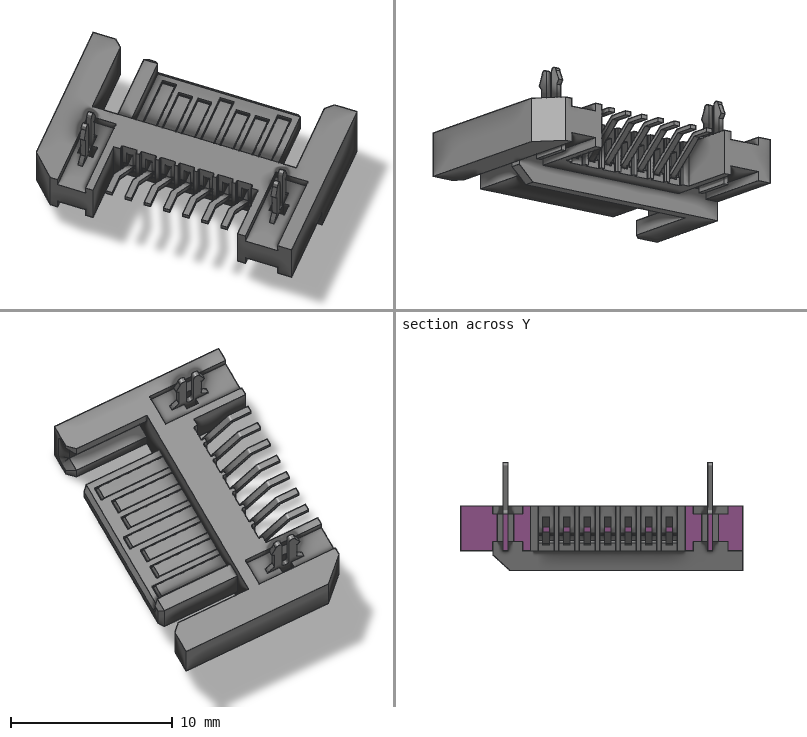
import cadquery as cq
import math

width = 17.47
depth = 11.5
height = 6.7

body_bottom = 1.22
body_top = 4.02
arm_width = 2.0
arm_tip_chamfer = 0.49
corner_cut_x = 1.5
corner_cut_y = 1.54
bridge_rear = 3.62
bridge_front = 6.08
leg_gap_left = 4.33
leg_gap_right = 13.89
right_arm_inner = width - arm_width

skirt_left = 2.0
skirt_rear = 5.35
skirt_chamfer_x = 1.07
skirt_chamfer_z = 0.98

tongue_left = 3.46
tongue_right = 13.82
tongue_bottom = 0.95
tongue_top = 2.15
key_width = 0.93
key_top = 3.2
tongue_lead_in = 0.3
tongue_lead_in_side = 0.26
channel_depth = 0.95

contact_count = 7
contact_row_span = 7.62
contact_pitch = contact_row_span / (contact_count - 1)
contact_center = 9.1
long_contacts = (0, 3, 6)
slot_width = 0.9
slot_depth = 0.17
long_slot_end = 10.85
short_slot_end = 10.32
blade_width = 0.82
blade_sink = 0.02
blade_end_gap = 0.05
blade_end_slope = 0.15
lead_width = 0.42
lead_thickness = 0.26
lead_tip = 0.25
lead_bend = 1.54
lead_bottom = 1.68
lead_angle = math.radians(40)

pocket_width = 1.03
pocket_depth = 0.21
inner_pocket_width = 0.95
inner_pocket_depth = 0.26
window_top = 3.34
window_bottom = 1.59
window_depth = 0.93
mouth_bottom = 1.73
mouth_top = 2.32
mouth_depth = 0.14

recess_depth = 0.5
lower_recess_depth = 0.58
recess_front = 5.33
left_recess = (2.0, 3.85)
right_recess = (14.41, 16.55)
recess_hole_rear = 2.76
recess_hole_front = 3.56
recess_hole_width = 1.01
peg_thickness = 0.31
peg_centers = (2.78, 15.45)
peg_middle = 3.15
peg_half_width = 0.79
peg_slot_half = 0.25
peg_foot_half = 1.28
peg_barb_half = 1.0
peg_barb_z = 5.83
peg_neck_z = 5.55
peg_flare_top = 3.95
peg_flare_bottom = 3.65
peg_flare_half = 1.14
tip_radius = 0.23


def box(x0, x1, y0, y1, z0, z1):
    """Axis-aligned block between two corners."""
    return cq.Workplane("XY").box(x1 - x0, y1 - y0, z1 - z0, centered=False).translate((x0, y0, z0))


def side_profile(points, center_x, thickness):
    """Plate cut to a (y, z) outline and centred on center_x."""
    plane = cq.Workplane("YZ", origin=(center_x - thickness / 2, 0, 0))
    return plane.polyline(points).close().extrude(thickness)


def make_housing():
    """Arms, legs and bridge as one plan outline, with the skirt beneath."""
    chamfer = arm_tip_chamfer
    outline = [
        (corner_cut_x, 0),
        (leg_gap_left, 0),
        (leg_gap_left, bridge_rear),
        (leg_gap_right, bridge_rear),
        (leg_gap_right, 0),
        (width, 0),
        (width, depth),
        (right_arm_inner + chamfer, depth),
        (right_arm_inner, depth - chamfer),
        (right_arm_inner, bridge_front),
        (arm_width, bridge_front),
        (arm_width, depth - chamfer),
        (arm_width - chamfer, depth),
        (0, depth),
        (0, corner_cut_y),
    ]
    body = (
        cq.Workplane("XY", origin=(0, 0, body_bottom))
        .polyline(outline).close().extrude(body_top - body_bottom)
    )

    skirt_outline = [
        (skirt_left + skirt_chamfer_x, 0),
        (width, 0),
        (width, body_bottom),
        (skirt_left, body_bottom),
        (skirt_left, skirt_chamfer_z),
    ]
    skirt = (
        cq.Workplane("XZ", origin=(0, bridge_front, 0))
        .polyline(skirt_outline).close().extrude(bridge_front - skirt_rear)
    )

    right_arm_base = (
        box(right_arm_inner, width, bridge_front, depth, 0, body_bottom)
        .edges("|Z and >Y and <X").chamfer(chamfer)
    )
    return body.union(skirt).union(right_arm_base)


def make_guide_channel():
    """Groove in the inner face of the right arm, flared at its mouth."""
    channel_right = right_arm_inner + channel_depth
    flare_start = depth - arm_tip_chamfer
    groove = box(right_arm_inner, channel_right, bridge_front, depth, tongue_bottom, key_top)
    flare = (
        cq.Workplane("XZ", origin=(0, flare_start, 0))
        .center((right_arm_inner + channel_right) / 2, (tongue_bottom + key_top) / 2)
        .rect(channel_depth, key_top - tongue_bottom)
        .extrude(-arm_tip_chamfer, taper=-45)
    )
    return groove.union(flare)


def make_tongue():
    """L-shaped tongue with a tapered lead-in at its free end."""
    key_right = tongue_left + key_width
    outline = [
        (tongue_left, tongue_bottom),
        (tongue_right, tongue_bottom),
        (tongue_right, tongue_top),
        (key_right, tongue_top),
        (key_right, key_top),
        (tongue_left, key_top),
    ]
    tongue_root = (skirt_rear + bridge_front) / 2
    taper_start = depth - tongue_lead_in
    taper_angle = math.degrees(math.atan(tongue_lead_in_side / tongue_lead_in))
    straight = (
        cq.Workplane("XZ", origin=(0, tongue_root, 0))
        .polyline(outline).close().extrude(tongue_root - taper_start)
    )
    lead_in = (
        cq.Workplane("XZ", origin=(0, taper_start, 0))
        .polyline(outline).close().extrude(-tongue_lead_in, taper=taper_angle)
    )
    return straight.union(lead_in)


def make_contact_slot(center_x, slot_end):
    """Shallow slot in the tongue top around one contact blade."""
    half = slot_width / 2
    floor = tongue_top - slot_depth
    return box(center_x - half, center_x + half, bridge_front, slot_end, floor, tongue_top)


def make_blade(center_x, slot_end):
    """Contact blade on the slot floor, sloping down at its free end."""
    floor = tongue_top - slot_depth
    top = tongue_top - blade_sink
    end = slot_end - blade_end_gap
    outline = [
        (bridge_front, floor),
        (end, floor),
        (end - blade_end_slope, top),
        (bridge_front, top),
    ]
    return side_profile(outline, center_x, blade_width)


def make_lead(center_x):
    """Solder tail at board level, a slope down to the bridge, and a root inside the bridge."""
    drop = body_top - lead_bottom - lead_thickness
    slope_run = drop / math.tan(lead_angle)
    bend_shift = lead_thickness * math.tan(lead_angle / 2)
    root_end = bridge_rear + inner_pocket_depth + window_depth
    upper_bend = lead_bend + bend_shift
    outline = [
        (lead_tip, body_top),
        (upper_bend, body_top),
        (upper_bend + slope_run, lead_bottom + lead_thickness),
        (root_end, lead_bottom + lead_thickness),
        (root_end, lead_bottom),
        (lead_bend + slope_run, lead_bottom),
        (lead_bend, body_top - lead_thickness),
        (lead_tip, body_top - lead_thickness),
    ]
    lead = side_profile(outline, center_x, lead_width)
    bend_edge = cq.selectors.NearestToPointSelector((center_x, upper_bend, body_top))
    return lead.edges(bend_edge).fillet(lead_thickness)


def make_pocket(center_x):
    """Stepped recess in the bridge, with a contact mouth and a narrow window above it."""
    half = pocket_width / 2
    inner_half = inner_pocket_width / 2
    window_half = lead_width / 2
    floor = bridge_rear + inner_pocket_depth
    step = bridge_rear + pocket_depth
    outer = box(center_x - half, center_x + half, bridge_rear, step, body_bottom, body_top)
    inner = box(center_x - inner_half, center_x + inner_half, bridge_rear, floor, body_bottom, body_top)
    window_end = floor + window_depth
    window = box(
        center_x - window_half, center_x + window_half, floor, window_end, window_bottom, window_top
    )
    mouth_outline = [
        (floor, mouth_bottom),
        (floor + mouth_depth, mouth_bottom + mouth_depth),
        (floor + mouth_depth, mouth_top - mouth_depth),
        (floor, mouth_top),
    ]
    mouth = side_profile(mouth_outline, center_x, inner_pocket_width)
    return outer.union(inner).union(window).union(mouth)


def make_leg_recess(x_range):
    """Matching shallow recesses in the top and bottom of one leg."""
    x0, x1 = x_range
    upper = box(x0, x1, 0, recess_front, body_top - recess_depth, body_top)
    lower = box(x0, x1, 0, skirt_rear, body_bottom, body_bottom + lower_recess_depth)
    return upper.union(lower)


def make_peg_hole(center_x):
    """Through hole in the leg around the middle of a peg."""
    half = recess_hole_width / 2
    return box(center_x - half, center_x + half, recess_hole_rear, recess_hole_front, body_bottom, body_top)


def make_peg(center_x):
    """Split board peg with rounded barbed tips and a flared foot."""
    recess_floor = body_top - recess_depth
    tip_center = peg_slot_half + tip_radius
    half_peg = (
        cq.Workplane("YZ", origin=(center_x - peg_thickness / 2, 0, 0))
        .moveTo(0, body_bottom)
        .lineTo(peg_foot_half, body_bottom)
        .lineTo(peg_foot_half, recess_floor)
        .lineTo(peg_flare_half, peg_flare_bottom)
        .lineTo(peg_half_width, peg_flare_top)
        .lineTo(peg_half_width, peg_neck_z)
        .lineTo(peg_barb_half, peg_barb_z)
        .lineTo(tip_center + tip_radius, height - tip_radius)
        .threePointArc((tip_center, height), (peg_slot_half, height - tip_radius))
        .lineTo(peg_slot_half, recess_floor + peg_slot_half)
        .radiusArc((0, recess_floor), peg_slot_half)
        .close()
        .extrude(peg_thickness)
    )
    peg = half_peg.union(half_peg.mirror("XZ"))
    return peg.translate((0, peg_middle, 0))


result = make_housing().cut(make_guide_channel()).union(make_tongue())

for recess_range, peg_x in zip((left_recess, right_recess), peg_centers):
    result = result.cut(make_leg_recess(recess_range)).cut(make_peg_hole(peg_x)).union(make_peg(peg_x))

for index in range(contact_count):
    contact_x = contact_center - contact_row_span / 2 + index * contact_pitch
    slot_end = long_slot_end if index in long_contacts else short_slot_end
    result = result.cut(make_pocket(contact_x)).cut(make_contact_slot(contact_x, slot_end))
    result = result.union(make_blade(contact_x, slot_end)).union(make_lead(contact_x))